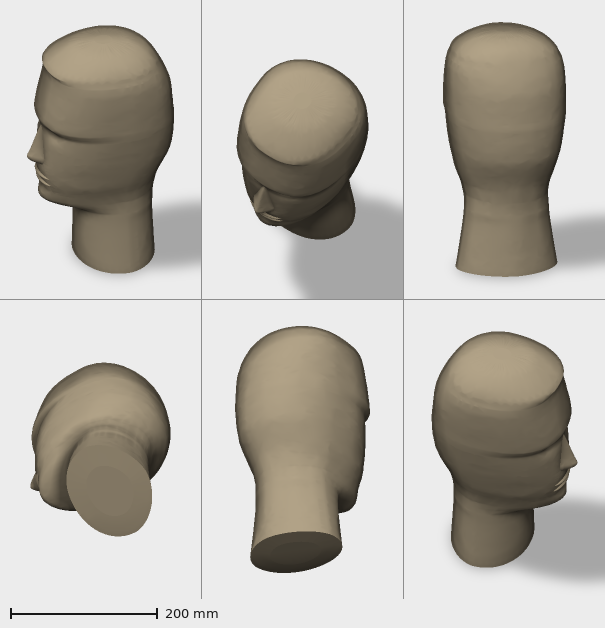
import math

import cadquery as cq

TOTAL_HEIGHT = 333.88
TOTAL_DEPTH = 206.24
SKULL_WIDTH = 162.45
NOSE_TIP_Y = -109.6
SKULL_BACK_Y = TOTAL_DEPTH + NOSE_TIP_Y
SKULL_HALF = SKULL_WIDTH / 2

RIM_Z = 2.0
UNDERSIDE_SCALE = 0.55
NECK_HALF = 70.5
NECK_BACK_Y = 70.5
NECK_FRONT_Y = -40.5

SECTIONS = [
    (RIM_Z, NECK_BACK_Y, NECK_FRONT_Y, NECK_HALF, 15, 2.1, 1.75),
    (42, 68.5, -40.5, 63.8, 15, 2.1, 1.75),
    (75, 67.5, -41.5, 59.0, 15, 2.1, 1.75),
    (87, 67.5, -46.5, 58.0, 15, 2.0, 1.85),
    (92.5, 67.8, -57.5, 57.5, 15, 1.9, 1.8),
    (97.5, 68.3, -78.0, 57.3, 15, 1.75, 1.8),
    (102.5, 69.0, -89.0, 57.3, 14, 1.8, 1.8),
    (108, 70.0, -92.5, 57.5, 13, 1.9, 1.8),
    (115, 71.5, -92.0, 58.7, 12, 2.0, 1.85),
    (122, 73.0, -89.5, 60.5, 10, 2.15, 1.85),
    (138, 78.5, -91.5, 66.2, 10, 2.3, 1.9),
    (153, 86.0, -94.0, 70.0, 10, 2.2, 2.0),
    (172, 93.5, -92.0, 74.0, 10, 2.3, 2.1),
    (196, SKULL_BACK_Y - 0.3, -90.5, 78.0, 10, 2.25, 2.1),
    (216, SKULL_BACK_Y, -90.0, 80.5, 10, 2.15, 2.1),
    (228, 95.5, -93.5, SKULL_HALF, 10, 2.5, 2.1),
    (243, 94.3, -91.5, SKULL_HALF, 10, 2.5, 2.1),
    (263, 92.0, -86.5, 81.0, 10, 2.5, 2.1),
    (283, 85.5, -81.8, 79.5, 10, 2.5, 2.1),
    (296, 79.0, -80.0, 77.0, 10, 2.5, 2.1),
    (300.5, 76.5, -81.0, 74.5, 10, 2.45, 2.1),
    (303.5, 74.5, -83.5, 73.0, 10, 2.4, 2.1),
    (308.5, 72.0, -80.5, 70.8, 10, 2.4, 2.1),
    (313.5, 68.0, -74.5, 67.0, 9, 2.3, 2.1),
    (318.5, 63.5, -67.5, 61.8, 7, 2.2, 2.1),
    (323.5, 57.0, -58.5, 54.5, 5, 2.1, 2.1),
    (328.5, 45.5, -48.0, 43.5, 2, 2.0, 2.1),
    (332, 33.0, -36.0, 31.0, 0, 2.0, 2.1),
    (TOTAL_HEIGHT, 12.0, -13.0, 12.0, 0, 2.0, 2.1),
]

LEVELS = 110
POINTS_PER_SECTION = 40

EYE_X = 28.0
EYE_Z = 213.0
EYE_DEPTH = 6.0
EYE_SPREAD_X = 16.0
EYE_SPREAD_Z = 8.0

NOSE_ROOT_Y = -80.0
NOSE_SECTIONS = [
    (219, -88.0, 8.0),
    (195, -99.0, 14.0),
    (175, -107.5, 20.0),
    (169, NOSE_TIP_Y, 22.0),
    (164, -106.5, 22.0),
    (159, -95.0, 20.0),
]
NOSE_FLANK = [(1.0, 0.0), (0.66, 0.52), (0.29, 0.86)]

LIP_HALF_WIDTH = 28.0
LIP_HALF_DEPTH = 14.0
LIP_HALF_HEIGHT = 4.5
UPPER_LIP_Z = 142.5
UPPER_LIP_FRONT_Y = -96.0
LOWER_LIP_Z = 132.0
LOWER_LIP_FRONT_Y = -94.0


def superellipse(angle, exponent):
    """Unit superellipse point at the given angle."""
    c, s = math.cos(angle), math.sin(angle)
    power = 2 / exponent
    return math.copysign(abs(c) ** power, c), math.copysign(abs(s) ** power, s)


def bell(offset, spread):
    return math.exp(-((offset / spread) ** 2))


def eye_hollow(x, z):
    """Depth by which the face is pushed back around the eyes."""
    return EYE_DEPTH * bell(abs(x) - EYE_X, EYE_SPREAD_X) * bell(z - EYE_Z, EYE_SPREAD_Z)


def slopes(heights, values):
    """Slope at each landmark; zero at a peak or valley so the blend never overshoots."""
    steps = [
        (values[i + 1] - values[i]) / (heights[i + 1] - heights[i])
        for i in range(len(heights) - 1)
    ]
    inner = [
        2 * below * above / (below + above) if below * above > 0 else 0.0
        for below, above in zip(steps, steps[1:])
    ]
    return [steps[0]] + inner + [steps[-1]]


def blended_sections():
    """Evenly spaced sections from cubic Hermite curves through the landmarks."""
    heights, *dimensions = zip(*SECTIONS)
    curves = [(values, slopes(heights, values)) for values in dimensions]
    sections = []
    band = 0
    for level in range(LEVELS + 1):
        z = RIM_Z + (TOTAL_HEIGHT - RIM_Z) * level / LEVELS
        while band < len(heights) - 2 and z > heights[band + 1]:
            band += 1
        span = heights[band + 1] - heights[band]
        t = (z - heights[band]) / span
        rise = t * t * (3 - 2 * t)
        section = [z]
        for values, slope in curves:
            start_bend = span * slope[band] * t * (1 - t) ** 2
            end_bend = span * slope[band + 1] * t * t * (t - 1)
            section.append(values[band] + (values[band + 1] - values[band]) * rise + start_bend + end_bend)
        sections.append(section)
    return sections


def section_wire(z, back, front, half_width, widest, front_squareness, back_squareness):
    """Closed smooth level section, starting at the middle of the face."""
    points = []
    for i in range(POINTS_PER_SECTION):
        angle = 2 * math.pi * i / POINTS_PER_SECTION - math.pi / 2
        faces_front = math.sin(angle) < 0
        unit_x, unit_y = superellipse(angle, front_squareness if faces_front else back_squareness)
        x = half_width * unit_x
        if faces_front:
            y = widest + (widest - front) * unit_y + eye_hollow(x, z)
        else:
            y = widest + (back - widest) * unit_y
        points.append(cq.Vector(x, y, z))
    parameters = [i / POINTS_PER_SECTION for i in range(POINTS_PER_SECTION + 1)]
    return cq.Wire.assembleEdges([cq.Edge.makeSpline(points, periodic=True, parameters=parameters)])


def make_head():
    wires = [section_wire(*section) for section in blended_sections()]
    return cq.occ_impl.shapes.loft(wires, cap=True, continuity="C1")


def make_underside():
    """Shallow crown below the neck rim, tapering evenly about the middle of the rim."""
    _, back, front, half_width, widest, *squareness = SECTIONS[0]
    middle = (back + front) / 2
    back_low, front_low, widest_low = (
        middle + UNDERSIDE_SCALE * (y - middle) for y in (back, front, widest)
    )
    lowest = section_wire(0, back_low, front_low, UNDERSIDE_SCALE * half_width, widest_low, *squareness)
    return cq.Solid.makeLoft([lowest, section_wire(*SECTIONS[0])], True)


def nose_wire(z, ridge_y, half_width):
    """Bell-shaped level section of the nose, closed across its root inside the head."""
    depth = ridge_y - NOSE_ROOT_Y
    right = [(half_width * across, NOSE_ROOT_Y + depth * along) for across, along in NOSE_FLANK]
    left = [(-x, y) for x, y in right]
    bell_points = left + [(0, ridge_y)] + right[::-1]
    return cq.Workplane("XY", origin=(0, 0, z)).spline(bell_points).close().val()


def make_nose():
    wires = [nose_wire(*section) for section in NOSE_SECTIONS]
    return cq.occ_impl.shapes.loft(wires, cap=True, continuity="C1", parametrization="chordal")


def make_lip(z, front_y):
    stretch = cq.Matrix([
        [LIP_HALF_WIDTH, 0, 0, 0],
        [0, LIP_HALF_DEPTH, 0, front_y + LIP_HALF_DEPTH],
        [0, 0, LIP_HALF_HEIGHT, z],
    ])
    return cq.Workplane("XY").sphere(1).val().transformGeometry(stretch)


result = (
    cq.Workplane(make_head())
    .union(cq.Workplane(make_underside()))
    .union(cq.Workplane(make_nose()))
    .union(cq.Workplane(make_lip(UPPER_LIP_Z, UPPER_LIP_FRONT_Y)))
    .union(cq.Workplane(make_lip(LOWER_LIP_Z, LOWER_LIP_FRONT_Y)))
)